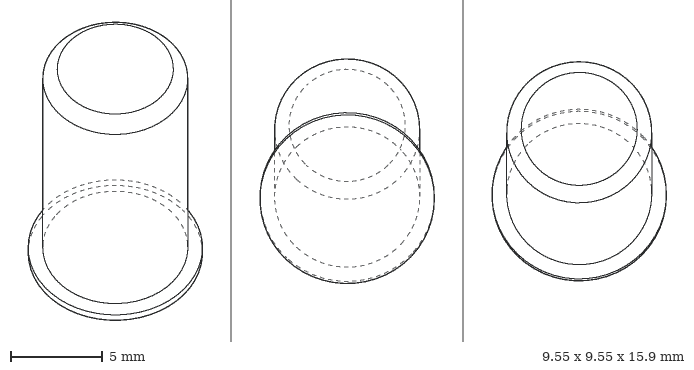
import cadquery as cq

total_height = 15.88
flange_diameter = 9.55
flange_thickness = 0.48
body_diameter = 7.94
tip_chamfer = 0.8

flange = cq.Workplane("XY").circle(flange_diameter / 2).extrude(flange_thickness)

body = (
    cq.Workplane("XY")
    .circle(body_diameter / 2)
    .extrude(total_height)
    .faces(">Z")
    .chamfer(tip_chamfer)
)

result = flange.union(body)